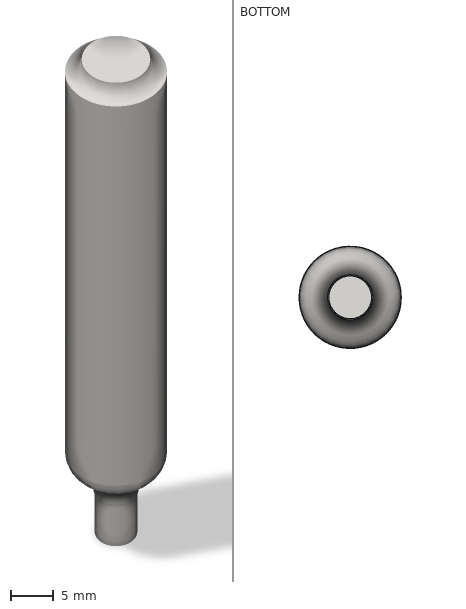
import cadquery as cq
import math

total_length = 76.0
housing_radius = 12.0 / 2

shoulder_radius = 2.0
top_face_radius = housing_radius - shoulder_radius
shoulder_z = total_length - shoulder_radius

stem_radius = 5.0 / 2
rod_radius = 3.05 / 2
stem_length = 6.85

neck_radius = 2.65
taper_height = 6.15
taper_top_z = stem_length + taper_height
convex_radius = 3.05
taper_inset = housing_radius - neck_radius
turn_angle = 2 * math.atan(taper_inset / taper_height)
concave_radius = taper_height / math.sin(turn_angle) - convex_radius


def convex_point(angle):
    """Profile point after turning by angle from the cylindrical wall."""
    return (
        housing_radius - convex_radius * (1 - math.cos(angle)),
        taper_top_z - convex_radius * math.sin(angle),
    )


def concave_point(angle):
    """Profile point where the wall is still inclined by angle to the axis."""
    return (
        neck_radius + concave_radius * (1 - math.cos(angle)),
        stem_length + concave_radius * math.sin(angle),
    )


def make_housing():
    """Revolved sleeve with a tapered lower end and a bore for the rod."""
    shoulder_middle = (
        housing_radius - shoulder_radius * math.cos(math.pi / 4),
        total_length - shoulder_radius * math.sin(math.pi / 4),
    )
    return (
        cq.Workplane("XZ")
        .moveTo(rod_radius, stem_length)
        .lineTo(neck_radius, stem_length)
        .threePointArc(concave_point(turn_angle / 2), concave_point(turn_angle))
        .threePointArc(convex_point(turn_angle / 2), (housing_radius, taper_top_z))
        .lineTo(housing_radius, shoulder_z)
        .threePointArc(shoulder_middle, (top_face_radius, total_length))
        .lineTo(rod_radius, total_length)
        .close()
        .revolve(360, (0, 0, 0), (0, 1, 0))
    )


def make_core():
    """Stem under the housing with a rod reaching the flat top face."""
    stem = cq.Workplane("XY").circle(stem_radius).extrude(stem_length)
    return stem.faces(">Z").workplane().circle(rod_radius).extrude(total_length - stem_length)


housing = make_housing()
core = make_core()

result = cq.Compound.makeCompound([housing.val(), core.val()])